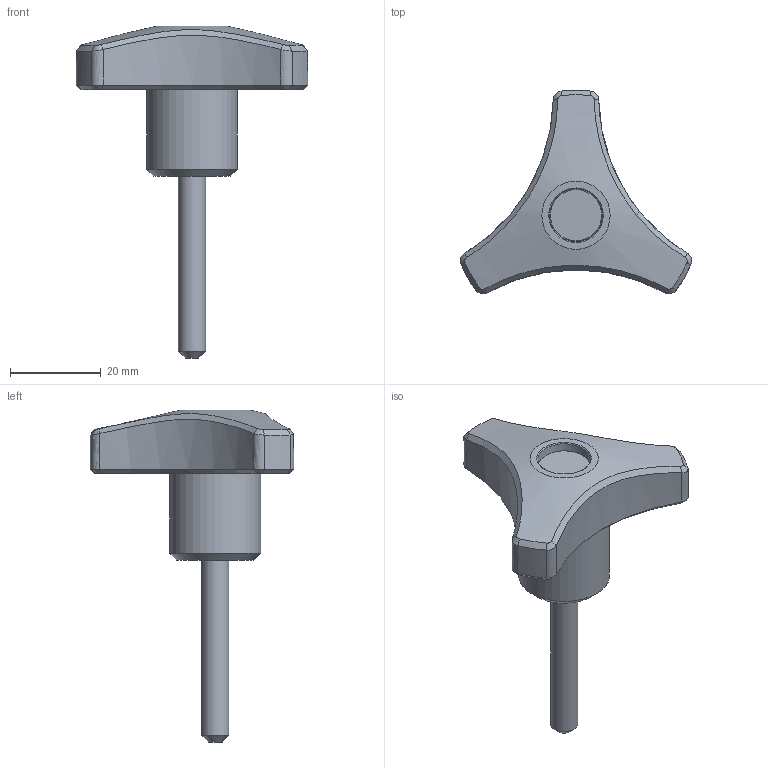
import cadquery as cq
import math

PIN_LENGTH = 40.0
HUB_LENGTH = 19.0
HEAD_HEIGHT = 14.0
HUB_BASE = PIN_LENGTH
HEAD_BASE = HUB_BASE + HUB_LENGTH
HEAD_TOP = HEAD_BASE + HEAD_HEIGHT

PIN_DIAMETER = 6.0
PIN_CHAMFER = 1.5
HUB_DIAMETER = 20.0
HUB_CHAMFER = 1.5

ARM_COUNT = 3
ARM_REACH = 27.5
ARM_TIP_WIDTH = 10.0
WAIST_RADIUS = 12.0
TIP_CORNER_RADIUS = 2.0
HEAD_CHAMFER = 1.0

TOP_FLAT_RADIUS = 7.5
CONE_DROP = 4.5

RECESS_DIAMETER = 12.0
RECESS_DEPTH = 2.0
RECESS_RIM_CHAMFER = 0.2
RECESS_DRAFT = math.radians(5)


def polar_point(radius, angle, offset=0.0):
    """Point at a distance along a direction, shifted sideways to the left of it."""
    x = radius * math.cos(angle) - offset * math.sin(angle)
    y = radius * math.sin(angle) + offset * math.cos(angle)
    return (x, y)


def make_head_prism():
    """Straight-sided star: arm tips on a common circle, joined by concave arcs."""
    pitch = 2 * math.pi / ARM_COUNT
    first_arm = math.pi / 2
    half_tip = ARM_TIP_WIDTH / 2
    corner_distance = math.sqrt(ARM_REACH**2 - half_tip**2)
    outline = cq.Workplane("XY").workplane(offset=HEAD_BASE)
    outline = outline.moveTo(*polar_point(corner_distance, first_arm, -half_tip))
    for arm in range(ARM_COUNT):
        direction = first_arm + arm * pitch
        waist = polar_point(WAIST_RADIUS, direction + pitch / 2)
        next_tip = polar_point(corner_distance, direction + pitch, -half_tip)
        tip_middle = polar_point(ARM_REACH, direction)
        tip_end = polar_point(corner_distance, direction, half_tip)
        outline = outline.threePointArc(tip_middle, tip_end)
        outline = outline.threePointArc(waist, next_tip)
    prism = outline.close().extrude(HEAD_HEIGHT)
    return prism.edges("|Z").fillet(TIP_CORNER_RADIUS)


def make_cone_envelope():
    """Round body whose top falls away as a cone outside the central flat."""
    outer_radius = ARM_REACH + ARM_TIP_WIDTH / 2
    slope = CONE_DROP / (ARM_REACH - TOP_FLAT_RADIUS)
    outer_height = HEAD_TOP - slope * (outer_radius - TOP_FLAT_RADIUS)
    profile = [
        (0, HEAD_BASE),
        (outer_radius, HEAD_BASE),
        (outer_radius, outer_height),
        (TOP_FLAT_RADIUS, HEAD_TOP),
        (0, HEAD_TOP),
    ]
    return cq.Workplane("XZ").polyline(profile).close().revolve(360, (0, 0), (0, 1))


def make_recess():
    """Round recess with a drafted wall and a small chamfer around its mouth."""
    mouth_radius = RECESS_DIAMETER / 2
    wall_radius = mouth_radius - RECESS_RIM_CHAMFER
    wall_height = RECESS_DEPTH - RECESS_RIM_CHAMFER
    floor_radius = wall_radius - wall_height * math.tan(RECESS_DRAFT)
    floor = HEAD_TOP - RECESS_DEPTH
    profile = [
        (0, floor),
        (floor_radius, floor),
        (wall_radius, floor + wall_height),
        (mouth_radius, HEAD_TOP),
        (0, HEAD_TOP),
    ]
    return cq.Workplane("XZ").polyline(profile).close().revolve(360, (0, 0), (0, 1))


def make_head():
    """Star with a conical top, chamfered all round above and below, and recessed."""
    head = make_head_prism().intersect(make_cone_envelope())
    head = head.faces("%CONE").edges("not >Z").chamfer(HEAD_CHAMFER)
    head = head.faces("<Z").chamfer(HEAD_CHAMFER)
    return head.cut(make_recess())


def make_round_bar(diameter, base, length, chamfer):
    """Upright cylinder with its lower rim chamfered."""
    bar = cq.Workplane("XY").workplane(offset=base).circle(diameter / 2).extrude(length)
    return bar.faces("<Z").chamfer(chamfer)


hub = make_round_bar(HUB_DIAMETER, HUB_BASE, HUB_LENGTH, HUB_CHAMFER)
pin = make_round_bar(PIN_DIAMETER, 0, PIN_LENGTH, PIN_CHAMFER)
result = make_head().union(hub).union(pin)